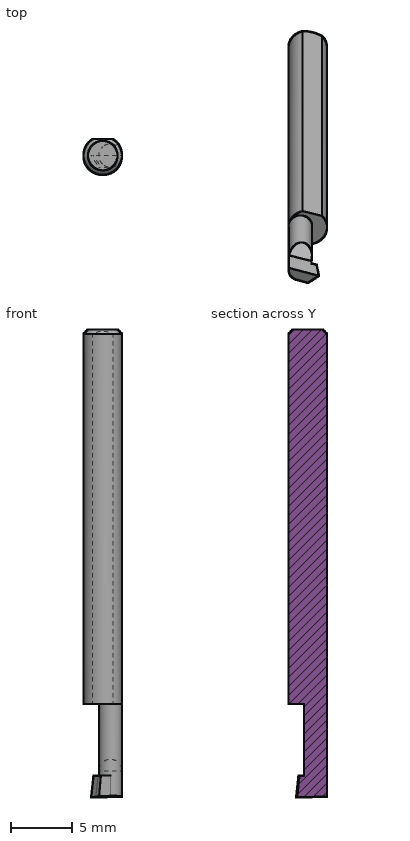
import cadquery as cq

total_length = 38.1
shank_diameter = 3.15
shank_radius = shank_diameter / 2
depth_across_flat = 2.95
flat_y = depth_across_flat - shank_radius
end_chamfer = 0.4

shoulder_z = 7.62
neck_diameter = 1.9
neck_radius = neck_diameter / 2
neck_x = shank_radius - neck_radius

runout_start_z = 2.17
runout_end_z = runout_start_z + neck_radius

head_height = 1.8
tip_x = -0.95
edge_top_x = -0.75
relief_corner_x = -0.57
relief_corner_y = -0.57
heel_x = -0.3
heel_top_x = -0.15

end_rise_x = 0.08
end_rise_y = 0.1


def make_shank():
    shank = (
        cq.Workplane("XY")
        .workplane(offset=shoulder_z)
        .circle(shank_radius)
        .extrude(total_length - shoulder_z)
        .faces(">Z")
        .chamfer(end_chamfer)
    )
    beyond_flat = (
        cq.Workplane("XY")
        .box(shank_diameter, shank_diameter, total_length, centered=(True, False, False))
        .translate((0, flat_y, 0))
    )
    return shank.cut(beyond_flat)


def make_neck():
    neck = cq.Workplane("XY").center(neck_x, 0).circle(neck_radius).extrude(shoulder_z)
    front_of_rake = (
        cq.Workplane("YZ")
        .moveTo(0, 0)
        .lineTo(0, runout_start_z)
        .lineTo(neck_radius, runout_end_z)
        .lineTo(neck_diameter, runout_end_z)
        .lineTo(neck_diameter, 0)
        .close()
        .extrude(shank_diameter, both=True)
    )
    return neck.cut(front_of_rake)


def head_outline(edge_x, corner_x, heel):
    return [
        (edge_x, 0),
        (corner_x, relief_corner_y),
        (heel, -neck_radius),
        (neck_x, -neck_radius),
        (neck_x, 0),
    ]


def make_head():
    corner_top_x = relief_corner_x + edge_top_x - tip_x
    return (
        cq.Workplane("XY")
        .polyline(head_outline(tip_x, relief_corner_x, heel_x))
        .close()
        .workplane(offset=head_height)
        .polyline(head_outline(edge_top_x, corner_top_x, heel_top_x))
        .close()
        .loft(ruled=True, combine=True)
    )


def make_end_relief():
    slope_x = end_rise_x / (shank_radius - tip_x)
    slope_y = end_rise_y / neck_radius
    end_plane = cq.Plane(
        origin=(tip_x, 0, 0),
        xDir=(1, 0, slope_x),
        normal=(-slope_x, slope_y, 1),
    )
    size = 2 * shank_diameter
    return cq.Workplane(end_plane).rect(size, size).extrude(-shank_diameter)


tool_end = make_neck().union(make_head()).cut(make_end_relief())
result = make_shank().union(tool_end)